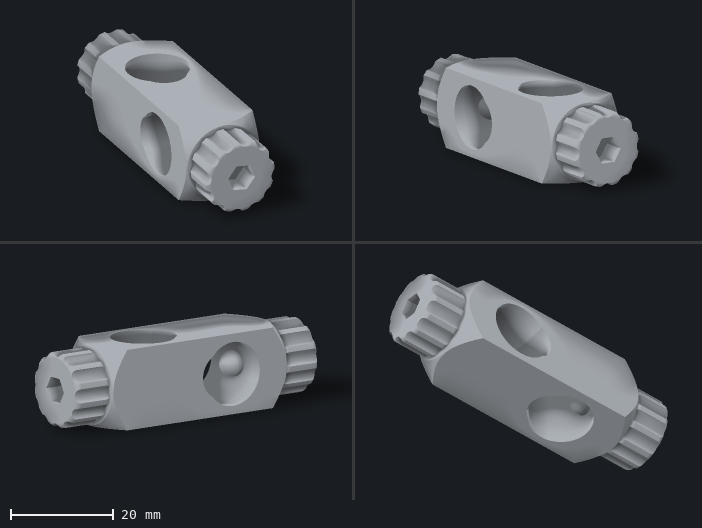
import cadquery as cq
import math

block_length = 42.0
block_width = 16.0
end_face_radius = 7.8
half_length = block_length / 2
half_width = block_width / 2

bore_radius = 6.35
bore_distance = 8.0
nose_radius = 4.5
nose_distance = 5.2

knob_radius = 7.5
knob_length = 8.0
knob_edge_radius = 1.0
flute_count = 12
flute_radius = 1.6
flute_depth = 0.95
socket_across_flats = 5.0
socket_depth = 5.0
shank_radius = 2.55
tip_distance = 11.0
dome_height = 2.25
right_screw_turn = -7.5

shank_length = half_length - tip_distance


def make_cross_hole(plane_name, side):
    """Keyhole-shaped cutter through the block, on the given side (+1 or -1) of the middle."""
    plane = cq.Workplane(plane_name)
    bore = plane.center(side * bore_distance, 0).circle(bore_radius).extrude(half_width, both=True)
    nose = plane.center(side * nose_distance, 0).circle(nose_radius).extrude(half_width, both=True)
    return bore.union(nose)


def make_turned_envelope():
    """Round body whose 45-degree conical ends cut back the corners of the square bar."""
    corner_radius = half_width * math.sqrt(2)
    cone_length = corner_radius - end_face_radius
    return (
        cq.Workplane("XY")
        .moveTo(-half_length, 0)
        .lineTo(-half_length, end_face_radius)
        .lineTo(-half_length + cone_length, corner_radius)
        .lineTo(half_length - cone_length, corner_radius)
        .lineTo(half_length, end_face_radius)
        .lineTo(half_length, 0)
        .close()
        .revolve(360, (0, 0, 0), (1, 0, 0))
    )


def make_screw_hole(side):
    """Cutter for the shank hole from an end face into the cross hole on that side."""
    hole_length = half_length - bore_distance
    end_face = cq.Workplane("YZ", origin=(side * half_length, 0, 0))
    return end_face.circle(shank_radius).extrude(-side * hole_length)


def make_block():
    block = cq.Workplane("XY").box(block_length, block_width, block_width)
    block = block.intersect(make_turned_envelope())
    block = block.cut(make_cross_hole("XZ", 1))
    block = block.cut(make_cross_hole("XY", -1))
    for side in (-1, 1):
        block = block.cut(make_screw_hole(side))
    return block


def make_knob():
    """Knob from X = -knob_length to X = 0, with a flute at the top and a hex socket in its outer face."""
    knob = cq.Workplane("YZ").circle(knob_radius).extrude(-knob_length)
    knob = knob.edges().fillet(knob_edge_radius)
    flute_circle_radius = knob_radius - flute_depth + flute_radius
    flutes = (
        cq.Workplane("YZ")
        .polarArray(flute_circle_radius, 0, 360, flute_count)
        .circle(flute_radius)
        .extrude(-knob_length)
    )
    socket_across_corners = socket_across_flats / math.cos(math.radians(30))
    socket = (
        cq.Workplane("YZ", origin=(-knob_length, 0, 0))
        .polygon(6, socket_across_corners)
        .extrude(socket_depth)
    )
    return knob.cut(flutes).cut(socket)


def make_shank():
    """Shank from X = 0 to its tip, ending in a shallow spherical dome."""
    dome_radius = (shank_radius**2 + dome_height**2) / (2 * dome_height)
    dome_center = shank_length - dome_radius
    mid_angle = math.asin(shank_radius / dome_radius) / 2
    dome_middle = (
        dome_center + dome_radius * math.cos(mid_angle),
        dome_radius * math.sin(mid_angle),
    )
    return (
        cq.Workplane("XY")
        .lineTo(0, shank_radius)
        .lineTo(shank_length - dome_height, shank_radius)
        .threePointArc(dome_middle, (shank_length, 0))
        .close()
        .revolve(360, (0, 0, 0), (1, 0, 0))
    )


def make_screw():
    """Thumb screw pointing along +X, with the inner face of the knob at X = 0."""
    return make_knob().union(make_shank())


block = make_block()

left_screw = make_screw().translate((-half_length, 0, 0))
right_screw = (
    make_screw()
    .rotate((0, 0, 0), (0, 0, 1), 180)
    .rotate((0, 0, 0), (1, 0, 0), right_screw_turn)
    .translate((half_length, 0, 0))
)

result = cq.Compound.makeCompound([block.val(), left_screw.val(), right_screw.val()])